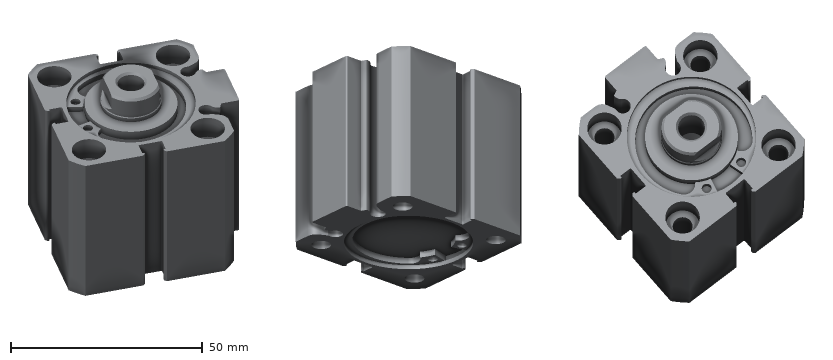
import cadquery as cq
import math


tube_width = 45.0
half_width = tube_width / 2
tube_height = 43.0
corner_radius = 29.45
bore_radius = 16.9

rail_half_width = 6.95
rail_height = 5.0
rail_corner_radius = 0.5

undercut_x = 8.45
undercut_y = 18.0
undercut_radius = 2.05
undercut_end_angle = 66.0
lip_tip = (8.4, 21.8)
lip_middle = (8.15, 20.6)
shoulder_x = 14.15
shoulder_radius = 3.0
shoulder_end_angle = 26.0
shoulder_foot_y = 18.8

slot_half_width = 3.2
slot_mouth_half_width = 2.6
slot_floor = 17.9
slot_lip_thickness = 1.1
slot_mouth_chamfer = 0.6
slot_floor_fillet = 0.3

hole_offset = 16.15
hole_radius = 2.6
counterbore_radius = 4.5
counterbore_depth = 6.25

groove_inset = 1.15
ring_thickness = 1.65
groove_radius = 17.7
ring_opening_radius = 15.35
ring_opening_y = -0.95
ring_end_radius = 3.0
ring_end_angle = 38.5
lug_inner_radius = 12.4
lug_gap_half_angle = 15.0
lug_hole_x = 5.8
lug_hole_y = -13.4
lug_hole_radius = 1.3

cover_thickness = 7.0
boss_radius = 12.15
boss_inset = 0.2
boss_top = tube_height - boss_inset
lower_ring_bottom = groove_inset
upper_ring_bottom = tube_height - groove_inset - ring_thickness
cap_bottom = groove_inset + ring_thickness
cap_top = cap_bottom + cover_thickness

rod_radius = 8.0
rod_top = 50.0
rod_head_radius = 7.8
rod_head_bottom = 44.2
rod_head_chamfer = 0.6
flat_half_width = 6.5
flat_bottom = rod_head_bottom + rod_head_radius - flat_half_width
thread_radius = 3.5
thread_depth = 13.0
thread_chamfer = 0.6
drill_half_angle = 60.0


def polar(radius, angle, center=(0.0, 0.0)):
    """Point at a radius and an angle in degrees around a centre."""
    turn = math.radians(angle)
    return (center[0] + radius * math.cos(turn), center[1] + radius * math.sin(turn))


def disc(radius, bottom, top):
    """Plain cylinder on the rod axis."""
    return cq.Workplane("XY").workplane(offset=bottom).circle(radius).extrude(top - bottom)


def make_undercut():
    """Undercut between the +X side of the rail and the rounded shoulder of the tube."""
    center = (undercut_x, undercut_y)
    shoulder_center = (shoulder_x, half_width - shoulder_radius)
    shoulder_middle_angle = 180 - (90 + shoulder_end_angle) / 2
    outer_x = undercut_x + undercut_radius
    return (
        cq.Workplane("XY")
        .moveTo(shoulder_x, half_width)
        .threePointArc(
            polar(shoulder_radius, shoulder_middle_angle, shoulder_center),
            polar(shoulder_radius, 180 - shoulder_end_angle, shoulder_center),
        )
        .lineTo(outer_x, shoulder_foot_y)
        .lineTo(outer_x, undercut_y)
        .threePointArc(
            polar(undercut_radius, -90, center),
            polar(undercut_radius, 180 - undercut_end_angle, center),
        )
        .threePointArc(lip_middle, lip_tip)
        .lineTo(rail_half_width, half_width)
        .close()
        .extrude(tube_height)
    )


def make_slot():
    """Sensor slot in the +X side, narrowed by two lips at its mouth."""
    lip_back = half_width - slot_lip_thickness
    mouth_front = half_width - slot_mouth_chamfer
    flared_half_width = slot_mouth_half_width + slot_mouth_chamfer
    channel = (
        cq.Workplane("XY")
        .center((slot_floor + lip_back) / 2, 0)
        .rect(lip_back - slot_floor, 2 * slot_half_width)
        .extrude(tube_height)
        .edges("|Z and <X")
        .fillet(slot_floor_fillet)
    )
    mouth = (
        cq.Workplane("XY")
        .polyline([
            (lip_back, -slot_mouth_half_width),
            (mouth_front, -slot_mouth_half_width),
            (half_width, -flared_half_width),
            (half_width, flared_half_width),
            (mouth_front, slot_mouth_half_width),
            (lip_back, slot_mouth_half_width),
        ])
        .close()
        .extrude(tube_height)
    )
    return channel.union(mouth)


def make_tube():
    tube = cq.Workplane("XY").rect(tube_width, tube_width).extrude(tube_height)
    tube = tube.intersect(disc(corner_radius, 0, tube_height))

    rail_depth = half_width + rail_height - undercut_y
    rail = (
        cq.Workplane("XY")
        .center(0, undercut_y + rail_depth / 2)
        .rect(2 * rail_half_width, rail_depth)
        .extrude(tube_height)
        .edges("|Z and >Y")
        .fillet(rail_corner_radius)
    )
    undercut = make_undercut()
    tube = tube.union(rail).cut(undercut).cut(undercut.mirror("YZ"))

    slot = make_slot()
    for angle in (0, 180, 270):
        tube = tube.cut(slot.rotate((0, 0, 0), (0, 0, 1), angle))

    tube = (
        tube.faces(">Z")
        .workplane(origin=(0, 0, tube_height))
        .rect(2 * hole_offset, 2 * hole_offset, forConstruction=True)
        .vertices()
        .cboreHole(2 * hole_radius, 2 * counterbore_radius, counterbore_depth)
    )

    tube = tube.cut(disc(bore_radius, 0, tube_height))
    for groove_bottom in (lower_ring_bottom, upper_ring_bottom):
        tube = tube.cut(disc(groove_radius, groove_bottom, groove_bottom + ring_thickness))
    return tube


def make_ring(bottom):
    """Internal retaining ring with two drilled lugs on the -Y side."""
    opening_center = (0.0, ring_opening_y)
    end_center = polar(ring_opening_radius - ring_end_radius, -ring_end_angle, opening_center)
    end_tangent = polar(ring_opening_radius, -ring_end_angle, opening_center)

    end_distance = math.hypot(*end_center)
    end_direction = math.degrees(math.atan2(end_center[1], end_center[0]))
    corner_cosine = (end_distance**2 + lug_inner_radius**2 - ring_end_radius**2) / (
        2 * end_distance * lug_inner_radius
    )
    corner_angle = end_direction - math.degrees(math.acos(corner_cosine))
    corner = polar(lug_inner_radius, corner_angle)
    end_middle = polar(ring_end_radius, -90, end_center)

    gap_angle = lug_gap_half_angle - 90
    lug_middle = polar(lug_inner_radius, (corner_angle + gap_angle) / 2)
    lug_tip = polar(lug_inner_radius, gap_angle)
    outer_tip = polar(groove_radius, gap_angle)

    def opposite(point):
        return (-point[0], point[1])

    return (
        cq.Workplane("XY")
        .workplane(offset=bottom)
        .moveTo(*outer_tip)
        .threePointArc((0, groove_radius), opposite(outer_tip))
        .lineTo(*opposite(lug_tip))
        .threePointArc(opposite(lug_middle), opposite(corner))
        .threePointArc(opposite(end_middle), opposite(end_tangent))
        .threePointArc((0, ring_opening_y + ring_opening_radius), end_tangent)
        .threePointArc(end_middle, corner)
        .threePointArc(lug_middle, lug_tip)
        .close()
        .pushPoints([(-lug_hole_x, lug_hole_y), (lug_hole_x, lug_hole_y)])
        .circle(lug_hole_radius)
        .extrude(ring_thickness)
    )


def make_rod_cover():
    """Disc under the upper ring, with a boss through the ring and a hole for the rod."""
    cover = disc(bore_radius, upper_ring_bottom - cover_thickness, upper_ring_bottom)
    cover = cover.union(disc(boss_radius, upper_ring_bottom, boss_top))
    return cover.cut(disc(rod_radius, 0, tube_height))


def make_end_cap():
    return disc(bore_radius, cap_bottom, cap_top)


def make_rod():
    """Rod standing on the end cap, with a blind hole for a thread and two wrench flats."""
    collar_chamfer = rod_radius - rod_head_radius
    thread_bottom = rod_top - thread_depth
    drill_tip = thread_bottom - thread_radius / math.tan(math.radians(drill_half_angle))
    rod = (
        cq.Workplane("XZ")
        .polyline([
            (0, cap_top),
            (rod_radius, cap_top),
            (rod_radius, rod_head_bottom - collar_chamfer),
            (rod_head_radius, rod_head_bottom),
            (rod_head_radius, rod_top - rod_head_chamfer),
            (rod_head_radius - rod_head_chamfer, rod_top),
            (thread_radius + thread_chamfer, rod_top),
            (thread_radius, rod_top - thread_chamfer),
            (thread_radius, thread_bottom),
            (0, drill_tip),
        ])
        .close()
        .revolve(360, (0, 0), (0, 1))
    )

    flat_cut = (
        cq.Workplane("YZ")
        .polyline([
            (flat_half_width, rod_top),
            (flat_half_width, flat_bottom),
            (rod_head_radius, rod_head_bottom),
            (rod_head_radius, rod_top),
        ])
        .close()
        .extrude(rod_radius, both=True)
    )
    return rod.cut(flat_cut).cut(flat_cut.mirror("XZ"))


tube = make_tube()
rod_cover = make_rod_cover()
end_cap = make_end_cap()
rod = make_rod()
rings = [make_ring(bottom) for bottom in (lower_ring_bottom, upper_ring_bottom)]

result = cq.Compound.makeCompound([
    tube.val(),
    rod_cover.val(),
    end_cap.val(),
    rod.val(),
    *[ring.val() for ring in rings],
])